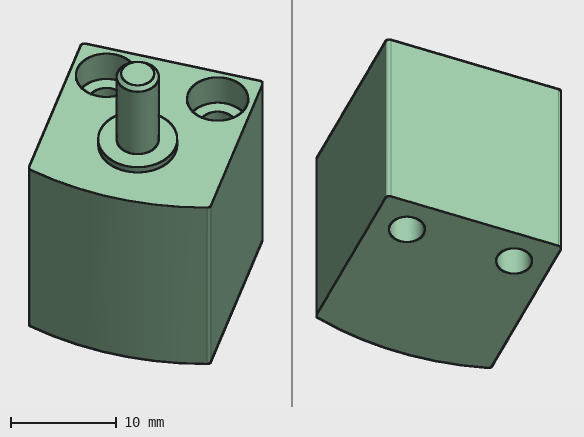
import cadquery as cq


width = 18.0
depth = 19.0
height = 21.0
front_radius = 30.0
edge_radius = 0.4
rod_to_back = 11.5

half_width = width / 2
back_y = rod_to_back
crown_y = back_y - depth
front_sag = front_radius - (front_radius**2 - half_width**2) ** 0.5
front_corner_y = crown_y + front_sag

collar_diameter = 7.5
collar_height = 0.7

hole_spacing = 11.0
hole_to_back = 3.5
hole_diameter = 3.4
counterbore_diameter = 5.8
counterbore_depth = 3.4

rod_diameter = 4.0
rod_top = 30.5
rod_tip_chamfer = 0.43
rod_bottom = height / 2


def make_rod_blank():
    """Plain cylinder of the rod, also used to cut its seat in the housing."""
    return (
        cq.Workplane("XY")
        .workplane(offset=rod_bottom)
        .circle(rod_diameter / 2)
        .extrude(rod_top - rod_bottom)
    )


def make_housing():
    """Block with a curved front, a collar, two mounting holes and the rod seat."""
    block = (
        cq.Workplane("XY")
        .moveTo(-half_width, back_y)
        .lineTo(-half_width, front_corner_y)
        .threePointArc((0, crown_y), (half_width, front_corner_y))
        .lineTo(half_width, back_y)
        .close()
        .extrude(height)
        .edges("|Z")
        .fillet(edge_radius)
    )
    collar = (
        cq.Workplane("XY")
        .workplane(offset=height)
        .circle(collar_diameter / 2)
        .extrude(collar_height)
    )
    hole_y = back_y - hole_to_back
    hole_centers = [(side * hole_spacing / 2, hole_y) for side in (-1, 1)]
    drilled = (
        block.faces(">Z")
        .workplane(origin=(0, 0, height))
        .pushPoints(hole_centers)
        .cboreHole(hole_diameter, counterbore_diameter, counterbore_depth)
    )
    return drilled.union(collar).cut(make_rod_blank())


def make_rod():
    """Round rod with a chamfered tip."""
    return make_rod_blank().faces(">Z").chamfer(rod_tip_chamfer)


housing = make_housing()
rod = make_rod()

result = cq.Compound.makeCompound([housing.val(), rod.val()])